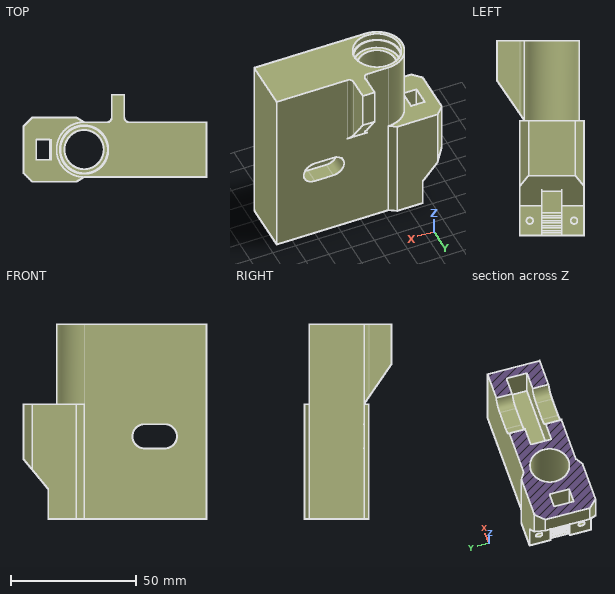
import cadquery as cq


height = 78.0
tower_radius = 11.0
plate_end_x = 49.0

bore_radius = 7.8
seat_radius = 9.4
seat_depth = 7.2
mouth_radius = 9.75
mouth_depth = 3.2

clamp_left_x = -24.25
clamp_half_width = 12.9
clamp_top_z = 46.0
clamp_taper_x = -3.05
corner_chamfer = 3.5
foot_left_x = -14.35
foot_height = 12.0
slope_top_z = 24.0

channel_left_x = -19.1
channel_right_x = -13.2
channel_width = 8.0
tooth_radius = 0.55
tooth_count = 5
toothed_height = 9.1
tooth_pitch = (toothed_height - 2 * tooth_radius) / (tooth_count - 1)

screw_radius = 1.3
screw_depth = 9.35
screw_spacing = 17.7
screw_z = 6.0

slot_length = 17.7
slot_width = 9.6
slot_center_x = 28.2
slot_center_z = 33.15

chamber_length = 32.75
chamber_height = 28.1
chamber_width = 8.4

rib_embed = 0.8
rib_left_x = 11.0
rib_width = 5.15
rib_reach = 11.0
rib_tip_height = 16.0
rib_root_height = 32.0
rib_fillet = 1.8


def box(x_min, x_max, y_min, y_max, z_min, z_max):
    """Axis-aligned box given by its limits."""
    size = (x_max - x_min, y_max - y_min, z_max - z_min)
    return cq.Workplane("XY").box(*size, centered=False).translate((x_min, y_min, z_min))


def make_plate():
    plate = box(0, plate_end_x, -tower_radius, tower_radius, 0, height)
    tower = cq.Workplane("XY").circle(tower_radius).extrude(height)
    return plate.union(tower)


def make_clamp():
    half_outline = [
        (clamp_left_x, clamp_half_width - corner_chamfer),
        (clamp_left_x + corner_chamfer, clamp_half_width),
        (clamp_taper_x, clamp_half_width),
        (0, tower_radius),
    ]
    mirrored = [(x, -y) for x, y in reversed(half_outline)]
    block = cq.Workplane("XY").polyline(half_outline + mirrored).close().extrude(clamp_top_z)
    undercut = (
        cq.Workplane("XZ")
        .moveTo(clamp_left_x, 0)
        .lineTo(foot_left_x, 0)
        .lineTo(foot_left_x, foot_height)
        .lineTo(clamp_left_x, slope_top_z)
        .close()
        .extrude(clamp_half_width, both=True)
    )
    return block.cut(undercut)


def make_rib():
    root_y = tower_radius
    tip_y = root_y + rib_reach
    center_x = rib_left_x + rib_width / 2
    flared_half = rib_width / 2 + rib_fillet
    outline = (
        cq.Workplane("XY")
        .moveTo(center_x - flared_half, root_y - rib_embed)
        .lineTo(center_x - flared_half, root_y)
        .radiusArc((rib_left_x, root_y + rib_fillet), -rib_fillet)
        .lineTo(rib_left_x, tip_y)
        .lineTo(rib_left_x + rib_width, tip_y)
        .lineTo(rib_left_x + rib_width, root_y + rib_fillet)
        .radiusArc((center_x + flared_half, root_y), -rib_fillet)
        .lineTo(center_x + flared_half, root_y - rib_embed)
        .close()
        .extrude(height)
    )
    profile = (
        cq.Workplane("YZ")
        .polyline([
            (root_y - rib_embed, height),
            (tip_y, height),
            (tip_y, height - rib_tip_height),
            (root_y, height - rib_root_height),
            (root_y - rib_embed, height - rib_root_height),
        ])
        .close()
        .extrude(plate_end_x)
    )
    return outline.intersect(profile)


def make_bore():
    top = cq.Workplane("XY", origin=(0, 0, height))
    bore = top.circle(bore_radius).extrude(-height)
    seat = top.circle(seat_radius).extrude(-seat_depth)
    mouth = top.circle(mouth_radius).extrude(-mouth_depth)
    return bore.union(seat).union(mouth)


def make_channel():
    half = channel_width / 2
    channel = box(channel_left_x, channel_right_x, -half, half, 0, clamp_top_z)
    for index in range(tooth_count):
        tooth_center = (channel_right_x, tooth_radius + index * tooth_pitch)
        tooth = (
            cq.Workplane("XZ")
            .pushPoints([tooth_center])
            .circle(tooth_radius)
            .extrude(half, both=True)
        )
        channel = channel.cut(tooth)
    return channel


def make_screw_holes():
    return (
        cq.Workplane("YZ", origin=(foot_left_x, 0, screw_z))
        .pushPoints([(-screw_spacing / 2, 0), (screw_spacing / 2, 0)])
        .circle(screw_radius)
        .extrude(screw_depth)
    )


def make_slot():
    return (
        cq.Workplane("XZ", origin=(slot_center_x, 0, slot_center_z))
        .slot2D(slot_length, slot_width)
        .extrude(tower_radius, both=True)
    )


def make_chamber():
    chamber = cq.Workplane("XY").box(chamber_length, chamber_width, chamber_height)
    return chamber.translate((slot_center_x, 0, slot_center_z))


body = make_plate().union(make_clamp()).union(make_rib())
cutters = [make_bore(), make_channel(), make_screw_holes(), make_slot(), make_chamber()]
for cutter in cutters:
    body = body.cut(cutter)
result = body